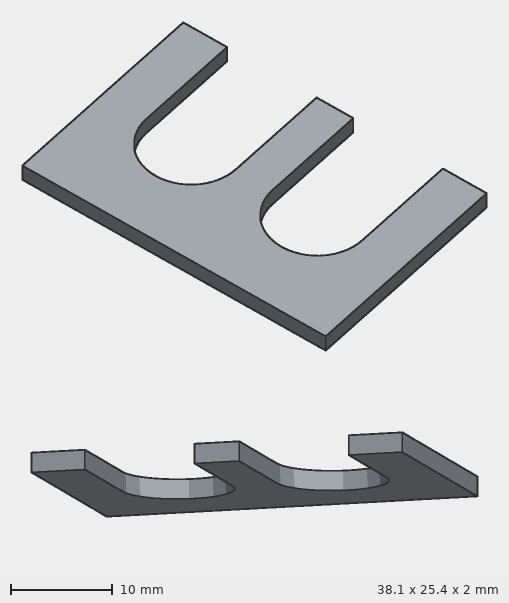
import cadquery as cq

length = 38.1
width = 25.4
thickness = 2.0

slot_width = 11.25
slot_spacing = 15.85
web_below_slots = 7.05

slot_radius = slot_width / 2
open_edge_y = width / 2
arc_centre_y = -width / 2 + web_below_slots + slot_radius


def open_slot(centre_x):
    """Through cutter with straight sides and a semicircular bottom."""
    left = centre_x - slot_radius
    right = centre_x + slot_radius
    return (
        cq.Workplane("XY")
        .moveTo(left, open_edge_y)
        .lineTo(left, arc_centre_y)
        .threePointArc((centre_x, arc_centre_y - slot_radius), (right, arc_centre_y))
        .lineTo(right, open_edge_y)
        .close()
        .extrude(thickness)
    )


result = cq.Workplane("XY").box(length, width, thickness, centered=(True, True, False))
for side in (-1, 1):
    result = result.cut(open_slot(side * slot_spacing / 2))